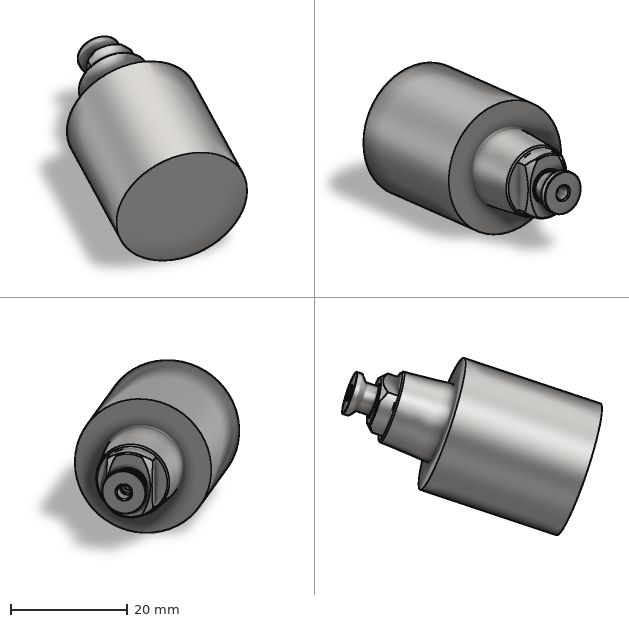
import cadquery as cq
import math


total_length = 42.0
body_diameter = 24.0
body_start = 17.0

neck_start = 7.5
neck_front_radius = 6.45
neck_chamfer = 0.3
land_start = 16.0
land_radius = 14.18 / 2
land_fillet = 0.25

nose_start = 4.5
nose_length = neck_start - nose_start
nose_radius = 5.85
nose_chamfer = 0.25
nose_fillet = 0.25
across_flats = 8.0
bevel_radius = 9.6
bevel_inset = 0.25

head_diameter = 7.7
head_chamfer = 0.1
head_rim_end = 1.08
head_cone_end = 2.1
head_fillet = 0.3
pin_neck_diameter = 5.3
shank_diameter = 5.5
shank_end = 10.0

countersink_diameter = 6.3

bore_mouth_diameter = 3.0
bore_diameter = 2.5
bore_depth = 3.0
core_diameter = 2.0
core_depth = 5.0
drill_tip_angle = 140.0

select_tolerance = 0.01


def turned(profile):
    """Close a half profile of (X, radius) points and revolve it about the X axis."""
    return profile.close().revolve(360, (0, 0, 0), (1, 0, 0))


def edges_near_plane(x, reach):
    """Select edges that lie at one X and stay within a distance of the axis."""
    limit = reach + select_tolerance
    return cq.selectors.BoxSelector(
        (x - select_tolerance, -limit, -limit),
        (x + select_tolerance, limit, limit),
        boundingbox=True,
    )


def make_body_and_neck():
    fillet_rise = land_fillet * (1 - math.sqrt(0.5))
    return turned(
        cq.Workplane("XY")
        .moveTo(neck_start, 0)
        .lineTo(neck_start, neck_front_radius - neck_chamfer)
        .lineTo(neck_start + neck_chamfer, neck_front_radius)
        .lineTo(land_start, land_radius)
        .lineTo(body_start - land_fillet, land_radius)
        .threePointArc(
            (body_start - fillet_rise, land_radius + fillet_rise),
            (body_start, land_radius + land_fillet),
        )
        .lineTo(body_start, body_diameter / 2)
        .lineTo(total_length, body_diameter / 2)
        .lineTo(total_length, 0)
    )


def make_flat_bevel(side):
    """A 45 degree cone, set off from the axis, whose surface bevels the flat on one side."""
    axis_offset = bevel_radius - (across_flats / 2 - bevel_inset)
    cone = turned(
        cq.Workplane("XY")
        .moveTo(nose_start, 0)
        .lineTo(nose_start, bevel_radius)
        .lineTo(neck_start, bevel_radius + nose_length)
        .lineTo(neck_start, 0)
    )
    return cone.translate((0, -side * axis_offset, 0))


def make_nose():
    nose = turned(
        cq.Workplane("XY")
        .moveTo(nose_start, 0)
        .lineTo(nose_start, nose_radius - nose_chamfer)
        .lineTo(nose_start + nose_chamfer, nose_radius)
        .lineTo(neck_start, nose_radius)
        .lineTo(neck_start, 0)
    )
    flats = (
        cq.Workplane("XY")
        .box(nose_length, across_flats, 2 * nose_radius, centered=(False, True, True))
        .translate((nose_start, 0, 0))
    )
    nose = nose.intersect(flats)
    for side in (-1, 1):
        nose = nose.intersect(make_flat_bevel(side))
    return nose


def make_pin_hole():
    """Blind hole for the pin shank, with a 45 degree countersink at its mouth."""
    countersink_depth = (countersink_diameter - shank_diameter) / 2
    return turned(
        cq.Workplane("XY")
        .moveTo(nose_start, 0)
        .lineTo(nose_start, countersink_diameter / 2)
        .lineTo(nose_start + countersink_depth, shank_diameter / 2)
        .lineTo(shank_end, shank_diameter / 2)
        .lineTo(shank_end, 0)
    )


def make_housing():
    housing = make_body_and_neck().union(make_nose())
    housing = housing.edges(edges_near_plane(neck_start, nose_radius)).fillet(nose_fillet)
    return housing.cut(make_pin_hole())


def make_pin_bore():
    mouth_depth = (bore_mouth_diameter - bore_diameter) / 2
    step_length = (bore_diameter - core_diameter) / 2
    tip_length = core_diameter / 2 / math.tan(math.radians(drill_tip_angle / 2))
    return turned(
        cq.Workplane("XY")
        .lineTo(0, bore_mouth_diameter / 2)
        .lineTo(mouth_depth, bore_diameter / 2)
        .lineTo(bore_depth, bore_diameter / 2)
        .lineTo(bore_depth + step_length, core_diameter / 2)
        .lineTo(core_depth, core_diameter / 2)
        .lineTo(core_depth + tip_length, 0)
    )


def make_pin():
    head_radius = head_diameter / 2
    neck_radius = pin_neck_diameter / 2
    shank_radius = shank_diameter / 2
    neck_end = nose_start - (shank_radius - neck_radius)
    pin = turned(
        cq.Workplane("XY")
        .lineTo(0, head_radius - head_chamfer)
        .lineTo(head_chamfer, head_radius)
        .lineTo(head_rim_end, head_radius)
        .lineTo(head_cone_end, neck_radius)
        .lineTo(neck_end, neck_radius)
        .lineTo(nose_start, shank_radius)
        .lineTo(shank_end, shank_radius)
        .lineTo(shank_end, 0)
    )
    for x, radius in ((head_rim_end, head_radius), (head_cone_end, neck_radius)):
        pin = pin.edges(edges_near_plane(x, radius)).fillet(head_fillet)
    return pin.cut(make_pin_bore())


housing = make_housing()
pin = make_pin()

result = cq.Compound.makeCompound([housing.val(), pin.val()])